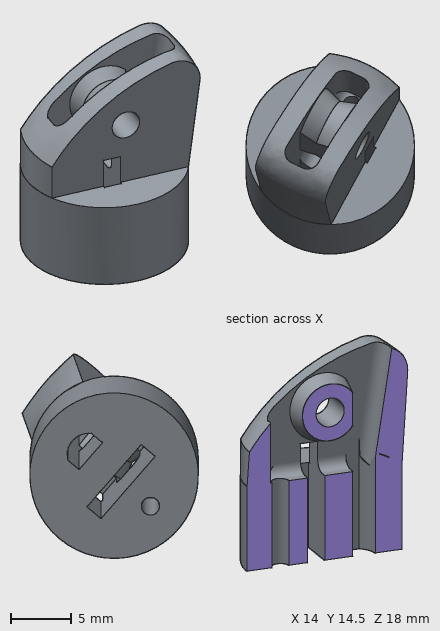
import cadquery as cq

base_radius = 7.0
base_height = 7.5

fin_half_width = 3.26
fin_front_height = 10.51
fin_height = 18.03
crest_end_y = 4.58
middle_front_y = -6.78
middle_peak_y = 5.25
middle_peak_radius = 2.27
middle_slope_middle = (-1.64, 15.42)
side_peak_y = 5.08
side_peak_radius = 2.16
side_slope_middle = (-1.01, 15.56)
base_edge_y = (base_radius**2 - fin_half_width**2) ** 0.5

pulley_y = 0.5
pulley_z = 12.98
pulley_radius = 3.0
groove_radius = 2.5
axle_diameter = 2.49

slot_width = 3.0
slot_front_y = -4.85
slot_back_y = 6.05
slot_back_floor_y = 4.4
slot_floor_z = base_height
slot_corner_radius = 1.0
slot_overshoot = 1.8

cord_hole_diameter = 1.5
cord_hole_y = -3.97
passage_front_y = 2.55
passage_shoulder_y = 3.75
passage_back_y = 4.55

cross_slot_width = 6.92
cross_slot_depth = 1.53
cross_slot_height = 10.0


def fin_section(x, bottom_y, top_front_y, peak_y, peak_radius, slope_middle):
    """Closed fin outline in the YZ plane at the given x, symmetric about Y = 0 at the bottom."""
    plane = cq.Plane(origin=(x, 0, 0), xDir=(0, 1, 0), normal=(1, 0, 0))
    peak_center_z = fin_height - peak_radius
    crest_end_z = peak_center_z + (peak_radius**2 - (peak_y - crest_end_y) ** 2) ** 0.5
    return (
        cq.Workplane(plane)
        .moveTo(-bottom_y, base_height)
        .lineTo(bottom_y, base_height)
        .lineTo(peak_y + peak_radius, peak_center_z)
        .threePointArc((peak_y, fin_height), (crest_end_y, crest_end_z))
        .threePointArc(slope_middle, (top_front_y, fin_front_height))
        .close()
        .wires()
        .val()
    )


def side_section(x):
    return fin_section(x, base_edge_y, -base_edge_y, side_peak_y, side_peak_radius, side_slope_middle)


def make_fin():
    """Smooth loft from side to side through the fuller middle section."""
    middle = fin_section(0, base_radius, middle_front_y, middle_peak_y, middle_peak_radius, middle_slope_middle)
    return cq.Workplane(cq.Solid.makeLoft([side_section(-fin_half_width), middle, side_section(fin_half_width)]))


def make_slot():
    """Cord slot with a sloping back wall and rounded edges all along its path."""
    open_z = fin_height + slot_overshoot
    back_slope = (slot_back_y - slot_back_floor_y) / (fin_height - slot_floor_z)
    open_back_y = slot_back_floor_y + back_slope * (open_z - slot_floor_z)
    slot = (
        cq.Workplane("YZ")
        .polyline([
            (slot_front_y, slot_floor_z),
            (slot_back_floor_y, slot_floor_z),
            (open_back_y, open_z),
            (slot_front_y, open_z),
        ])
        .close()
        .extrude(slot_width / 2, both=True)
    )
    side_edges = slot.faces("<X or >X").edges("not >Z")
    return cq.Workplane(slot.val().fillet(slot_corner_radius, side_edges.vals()))


def make_pulley():
    """V-grooved pulley that spans the slot and joins both of its walls."""
    half_width = slot_width / 2
    return (
        cq.Workplane("XY")
        .polyline([
            (-half_width, 0),
            (-half_width, pulley_radius),
            (0, groove_radius),
            (half_width, pulley_radius),
            (half_width, 0),
        ])
        .close()
        .revolve(360, (0, 0, 0), (1, 0, 0))
        .translate((0, pulley_y, pulley_z))
    )


def make_passages():
    """Round front hole and a larger back passage with an arched rear end that also trims the pulley."""
    front_hole = cq.Workplane("XY").center(0, cord_hole_y).circle(cord_hole_diameter / 2).extrude(pulley_z)
    half_width = slot_width / 2
    back_passage = (
        cq.Workplane("XY")
        .moveTo(-half_width, passage_front_y)
        .lineTo(half_width, passage_front_y)
        .lineTo(half_width, passage_shoulder_y)
        .threePointArc((0, passage_back_y), (-half_width, passage_shoulder_y))
        .close()
        .extrude(pulley_z + pulley_radius)
    )
    return front_hole, back_passage


def make_cross_slot():
    return (
        cq.Workplane("XY")
        .box(cross_slot_width, cross_slot_depth, cross_slot_height, centered=(True, False, False))
        .translate((0, -cross_slot_depth, 0))
    )


def make_axle_hole():
    return (
        cq.Workplane("YZ")
        .center(pulley_y, pulley_z)
        .circle(axle_diameter / 2)
        .extrude(base_radius, both=True)
    )


base = cq.Workplane("XY").circle(base_radius).extrude(base_height)
result = base.union(make_fin()).cut(make_slot()).union(make_pulley())
for passage in make_passages():
    result = result.cut(passage)
result = result.cut(make_cross_slot()).cut(make_axle_hole())